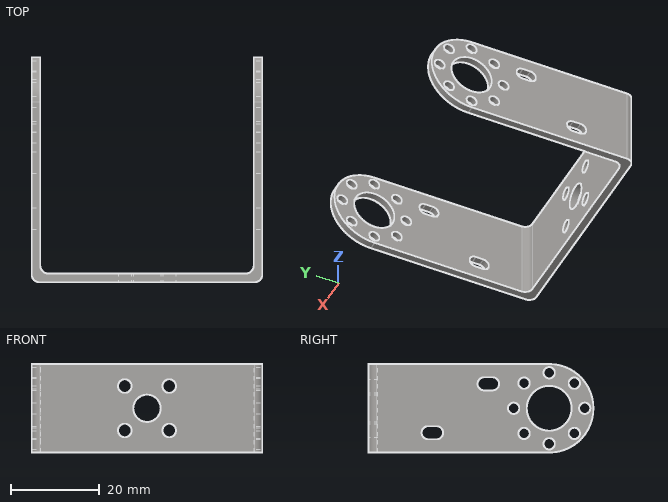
import cadquery as cq

width = 52.0
length = 50.7
height = 20.0
thickness = 2.0

bend_radius = 1.8

base_bore_diameter = 6.1
base_hole_diameter = 3.0
base_hole_spacing = 10.0

pivot_bore_diameter = 10.05
pivot_hole_count = 8
pivot_hole_diameter = 2.5
pivot_circle_diameter = 16.0

slot_length = 4.8
slot_width = 2.9
slot_rise = 5.5
slot_places = [(13.7, slot_rise), (26.3, -slot_rise)]

end_radius = height / 2
pivot_y = length - end_radius


def make_channel():
    """Base plate and two legs, bent as a U that opens towards +Y."""
    outer = (
        cq.Workplane("XY")
        .box(width, length, height, centered=(True, False, True))
        .edges("|Z and <Y")
        .fillet(bend_radius)
    )
    inner = (
        cq.Workplane("XY")
        .box(width - 2 * thickness, length, height, centered=(True, False, True))
        .edges("|Z and <Y")
        .fillet(bend_radius)
        .translate((0, thickness, 0))
    )
    return outer.cut(inner)


def round_leg_ends(body):
    """Trim the free end of both legs to a half circle about the pivot axis."""
    side_profile = (
        cq.Workplane("YZ")
        .moveTo(0, -end_radius)
        .lineTo(pivot_y, -end_radius)
        .threePointArc((length, 0), (pivot_y, end_radius))
        .lineTo(0, end_radius)
        .close()
        .extrude(width / 2, both=True)
    )
    return body.intersect(side_profile)


def leg_cutters():
    """Pivot bore, ring of holes and slots, each passing through both legs."""
    pivot_plane = cq.Workplane("YZ", origin=(0, pivot_y, 0))
    bore = pivot_plane.circle(pivot_bore_diameter / 2).extrude(width, both=True)
    ring = (
        pivot_plane
        .polarArray(pivot_circle_diameter / 2, 0, 360, pivot_hole_count)
        .circle(pivot_hole_diameter / 2)
        .extrude(width, both=True)
    )
    slots = (
        pivot_plane
        .pushPoints([(-distance, rise) for distance, rise in slot_places])
        .slot2D(slot_length, slot_width)
        .extrude(width, both=True)
    )
    return [bore, ring, slots]


def base_cutters():
    """Central bore and the square of four holes through the base plate."""
    base_plane = cq.Workplane("XZ")
    bore = base_plane.circle(base_bore_diameter / 2).extrude(-thickness)
    holes = (
        base_plane
        .rect(base_hole_spacing, base_hole_spacing, forConstruction=True)
        .vertices()
        .circle(base_hole_diameter / 2)
        .extrude(-thickness)
    )
    return [bore, holes]


result = round_leg_ends(make_channel())
for cutter in leg_cutters() + base_cutters():
    result = result.cut(cutter)